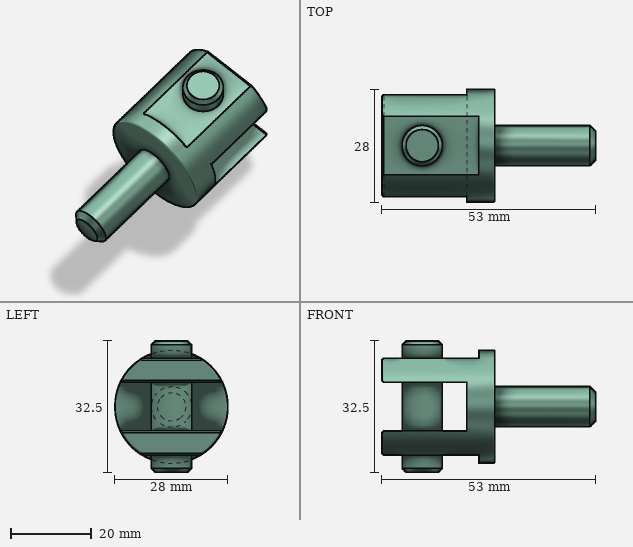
import cadquery as cq

head_diameter = 28.0
head_length = 28.0
collar_length = 4.0
head_rounding = 0.5
tip_chamfer = 0.5

fork_height = 24.0
slot_width = 12.0
slot_depth = 21.0

shank_diameter = 10.0
shank_length = 25.0
shank_chamfer = 1.5

pin_diameter = 10.0
pin_length = 32.5
pin_chamfer = 1.0
pin_to_tip = 10.0

tip_x = -pin_to_tip
head_back_x = tip_x + head_length
flat_length = head_length - collar_length


def rod_along_x(start_x, diameter, length):
    """Solid cylinder on the X axis, growing in +X from start_x."""
    return cq.Workplane("YZ", origin=(start_x, 0, 0)).circle(diameter / 2).extrude(length)


def block_from_tip(length, height):
    """Box across the full head width, centred on the X axis, from the fork tips in +X."""
    block = cq.Workplane("XY", origin=(tip_x, 0, 0))
    return block.box(length, head_diameter, height, centered=(False, True, True))


def make_side_profile():
    """Prism across Y with the outline of the head: collar, two flats and the slot."""
    fork = block_from_tip(head_length, fork_height)
    fork = fork.cut(block_from_tip(slot_depth, slot_width))
    fork = fork.faces("<X").edges("|Y").chamfer(tip_chamfer)
    collar = block_from_tip(head_length, head_diameter)
    collar = collar.cut(block_from_tip(flat_length, head_diameter))
    return fork.union(collar)


def make_head():
    bar = rod_along_x(tip_x, head_diameter, head_length)
    bar = bar.faces("<X or >X").edges().fillet(head_rounding)
    return bar.intersect(make_side_profile())


def make_shank():
    shank = rod_along_x(head_back_x, shank_diameter, shank_length)
    return shank.faces(">X").edges().chamfer(shank_chamfer)


def make_pin():
    pin = cq.Workplane("XY").cylinder(pin_length, pin_diameter / 2)
    return pin.faces("<Z or >Z").edges().chamfer(pin_chamfer)


result = make_head().union(make_shank()).union(make_pin())